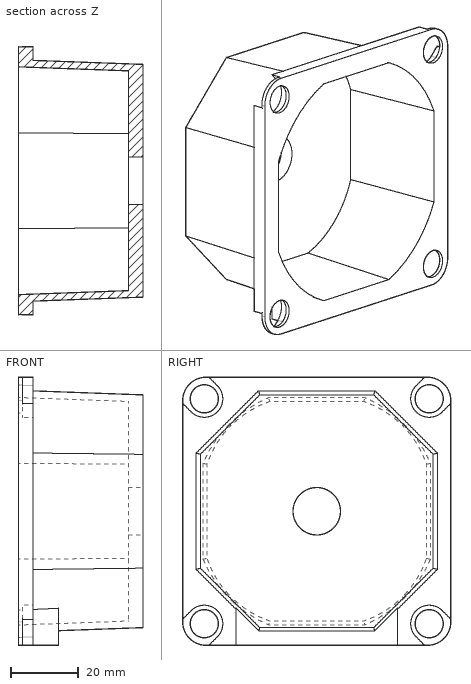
import cadquery as cq
import math

flange_side = 79.5
flange_half = flange_side / 2
flange_thickness = 4.4
corner_tab_thickness = 1.2
corner_radius = 7.0

screw_offset = 33.3
screw_hole_radius = 4.1
screw_slot_radius = 5.5

total_depth = 37.0
housing_base_half = 35.7
housing_base_flat_half = 17.25
housing_end_half = 34.5
housing_end_flat_half = 16.85

floor_thickness = 4.4
cavity_depth = total_depth - floor_thickness
cavity_mouth_half = 33.7
cavity_mouth_flat_half = 14.15
cavity_mouth_arc_reach = 36.6
cavity_floor_half = 32.5
cavity_floor_flat_half = 14.0
cavity_floor_arc_reach = 35.9
center_hole_radius = 7.0

block_width = 47.7
block_end = 11.9


def plane_at(x):
    """YZ plane at the given X, with local axes along +Y and +Z."""
    return cq.Workplane("YZ", origin=(x, 0, 0))


def quarter_turns(y, z, turns):
    """Rotate a point about the X axis by whole quarter turns."""
    for _ in range(turns):
        y, z = -z, y
    return y, z


def octagon(x, half, flat_half):
    corners = []
    for turn in range(4):
        for side in (-flat_half, flat_half):
            corners.append(quarter_turns(half, side, turn))
    return plane_at(x).polyline(corners).close().wire().val()


def arc_cornered_square(x, half, flat_half, arc_reach):
    """Four flats joined by arcs that reach arc_reach from the X axis."""
    arc_middle = arc_reach / math.sqrt(2)
    outline = plane_at(x).moveTo(half, -flat_half)
    for turn in range(4):
        outline = outline.lineTo(*quarter_turns(half, flat_half, turn))
        outline = outline.threePointArc(
            quarter_turns(arc_middle, arc_middle, turn),
            quarter_turns(flat_half, half, turn),
        )
    return outline.close().wire().val()


def make_flange():
    tab = (
        plane_at(0)
        .rect(flange_side, flange_side)
        .extrude(corner_tab_thickness)
        .edges("|X")
        .fillet(corner_radius)
    )
    backing_thickness = flange_thickness - corner_tab_thickness
    backing = plane_at(corner_tab_thickness).rect(flange_side, flange_side).extrude(backing_thickness)
    slot_length = flange_half
    slot = (
        plane_at(corner_tab_thickness)
        .center(screw_offset, screw_offset)
        .transformed(rotate=(0, 0, 45))
        .center(slot_length / 2, 0)
        .slot2D(slot_length + 2 * screw_slot_radius, 2 * screw_slot_radius)
        .extrude(backing_thickness)
    )
    for turn in range(4):
        backing = backing.cut(slot.rotate((0, 0, 0), (1, 0, 0), 90 * turn))
    screw_holes = (
        plane_at(0)
        .rect(2 * screw_offset, 2 * screw_offset, forConstruction=True)
        .vertices()
        .circle(screw_hole_radius)
        .extrude(flange_thickness)
    )
    return tab.union(backing).cut(screw_holes)


def make_housing():
    base = octagon(flange_thickness, housing_base_half, housing_base_flat_half)
    end = octagon(total_depth, housing_end_half, housing_end_flat_half)
    return cq.Workplane(cq.Solid.makeLoft([base, end], True))


def make_block():
    return cq.Workplane().box(
        block_end - flange_thickness, block_width, flange_half, centered=(False, True, False)
    ).translate((flange_thickness, 0, -flange_half))


def make_cavity():
    mouth = arc_cornered_square(
        0, cavity_mouth_half, cavity_mouth_flat_half, cavity_mouth_arc_reach
    )
    floor = arc_cornered_square(
        cavity_depth, cavity_floor_half, cavity_floor_flat_half, cavity_floor_arc_reach
    )
    return cq.Workplane(cq.Solid.makeLoft([mouth, floor], True))


center_hole = plane_at(0).circle(center_hole_radius).extrude(total_depth)

result = (
    make_flange()
    .union(make_housing())
    .union(make_block())
    .cut(make_cavity())
    .cut(center_hole)
)